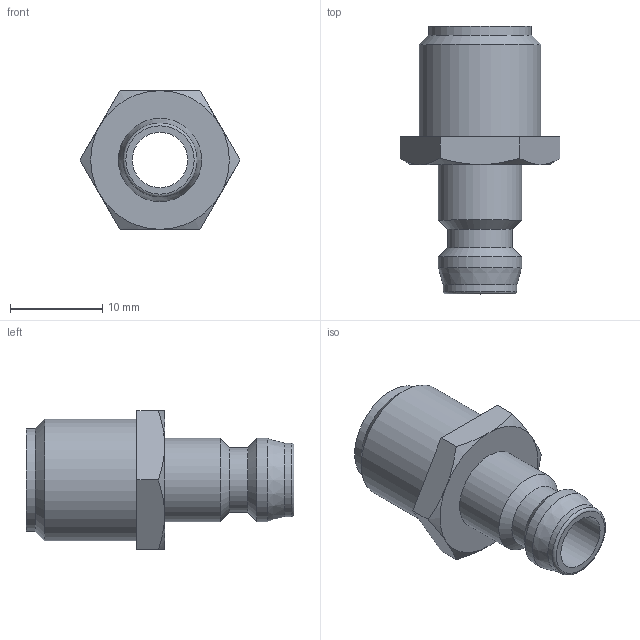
import cadquery as cq
import math


TIP_LENGTH = 1.0
FLARE_END = 2.83
COLLAR_END = 4.0
GROOVE_START = 5.0
GROOVE_END = 7.0
SHAFT_START = 8.0
HEX_START = 14.0
HEX_END = 17.0
BODY_END = 27.0
SPIGOT_START = 28.0
TOTAL_LENGTH = 29.0

BORE_RADIUS = 3.0
TIP_RADIUS = 4.0
SHAFT_RADIUS = 4.5
GROOVE_RADIUS = 3.5
BODY_DIAMETER = 13.157
BODY_RADIUS = BODY_DIAMETER / 2
SPIGOT_RADIUS = BODY_RADIUS - (SPIGOT_START - BODY_END)
FLARE_CROWN_RADIUS = 40.0
TIP_ROUND = 0.3

ACROSS_FLATS = 15.0
HEX_BEVEL_ANGLE = 30.0
HEX_CORNER_RADIUS = ACROSS_FLATS / math.sqrt(3)


def make_turned_body():
    """Revolve the stepped outer profile; points are (radius, axial position)."""
    round_centre = (TIP_RADIUS - TIP_ROUND, TIP_ROUND)
    middle_angle = math.radians(45)
    round_middle = (
        round_centre[0] + TIP_ROUND * math.sin(middle_angle),
        round_centre[1] - TIP_ROUND * math.cos(middle_angle),
    )
    profile = (
        cq.Workplane("XY")
        .lineTo(TIP_RADIUS - TIP_ROUND, 0)
        .threePointArc(round_middle, (TIP_RADIUS, TIP_ROUND))
        .lineTo(TIP_RADIUS, TIP_LENGTH)
        .radiusArc((SHAFT_RADIUS, FLARE_END), -FLARE_CROWN_RADIUS)
        .lineTo(SHAFT_RADIUS, COLLAR_END)
        .lineTo(GROOVE_RADIUS, GROOVE_START)
        .lineTo(GROOVE_RADIUS, GROOVE_END)
        .lineTo(SHAFT_RADIUS, SHAFT_START)
        .lineTo(SHAFT_RADIUS, HEX_END)
        .lineTo(BODY_RADIUS, HEX_END)
        .lineTo(BODY_RADIUS, BODY_END)
        .lineTo(SPIGOT_RADIUS, SPIGOT_START)
        .lineTo(SPIGOT_RADIUS, TOTAL_LENGTH)
        .lineTo(0, TOTAL_LENGTH)
        .close()
    )
    return profile.revolve(360, (0, 0, 0), (0, 1, 0))


def make_hexagon():
    """Hexagonal flange with corners on X, bevelled on its plug side."""
    flat_radius = ACROSS_FLATS / 2
    bevel_depth = (HEX_CORNER_RADIUS - flat_radius) * math.tan(math.radians(HEX_BEVEL_ANGLE))
    prism = (
        cq.Workplane("XZ", origin=(0, HEX_START, 0))
        .polygon(6, 2 * HEX_CORNER_RADIUS)
        .extrude(HEX_START - HEX_END)
    )
    bevel_envelope = (
        cq.Workplane("XY")
        .moveTo(0, HEX_START)
        .lineTo(flat_radius, HEX_START)
        .lineTo(HEX_CORNER_RADIUS, HEX_START + bevel_depth)
        .lineTo(HEX_CORNER_RADIUS, HEX_END)
        .lineTo(0, HEX_END)
        .close()
        .revolve(360, (0, 0, 0), (0, 1, 0))
    )
    return prism.intersect(bevel_envelope)


def make_bore():
    """Straight passage through the whole length."""
    return cq.Workplane("XZ").circle(BORE_RADIUS).extrude(-TOTAL_LENGTH)


result = make_turned_body().union(make_hexagon()).cut(make_bore())